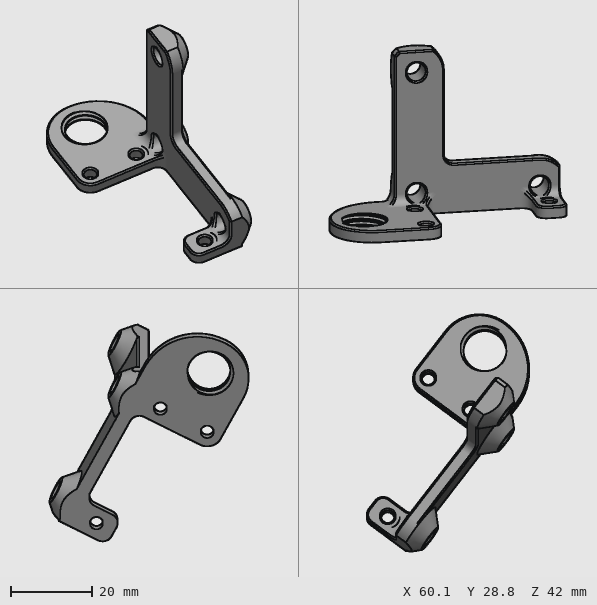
import cadquery as cq
import math

hole_pitch = 31.0
hole_margin = 5.5
plate_thickness = 3.4
boss_height = 3.5
boss_base_radius = 7.0
boss_top_radius = boss_base_radius - boss_height
mount_hole_diameter = 4.7
inner_corner_radius = 2.5

floor_thickness = 3.0
floor_hole_diameter = 3.2
floor_hole_edge = 3.8
base_hole_x = -1.46
base_hole_near_y = -5.05
base_hole_spacing = 13.0
tab_hole_x = 32.31
tab_length = 9.95
tab_corner_radius = 2.5
base_left = -24.0
base_front_corner_radius = 10.4
screw_head_diameter = 6.0

thread_x = -15.46
thread_y = -11.15
thread_minor_diameter = 10.53
thread_major_diameter = 12.2
thread_pitch = 1.5
thread_root_width = thread_pitch / 8
thread_turns = 4
thread_flank_angle = 30.0
thread_bore_overlap = 0.15
thread_root_turn = 0.75

blend_radius = 2.5
edge_chamfer = 0.4
overlap = 1.0

plate_left = -hole_margin
column_right = boss_base_radius
low_hole_z = hole_margin
high_hole_z = low_hole_z + hole_pitch
plate_top = high_hole_z + hole_margin
arm_top = low_hole_z + boss_base_radius
base_right = base_hole_x + floor_hole_edge
base_hole_far_y = base_hole_near_y - base_hole_spacing
base_front = base_hole_far_y - floor_hole_edge
base_back_corner_radius = plate_thickness - thread_y
tab_left = tab_hole_x - floor_hole_edge
plate_right = tab_hole_x + floor_hole_edge
mount_holes = [(0, low_hole_z), (0, high_hole_z), (hole_pitch, low_hole_z)]
base_holes = [(base_hole_x, base_hole_near_y), (base_hole_x, base_hole_far_y)]
floor_holes = base_holes + [(tab_hole_x, base_hole_near_y)]


def chord_half(distance):
    """Half length of the boss circle's chord at a distance from its center."""
    return math.sqrt(boss_base_radius ** 2 - distance ** 2)


def on_boss_circle(center, degrees):
    """Point on the boss circle around a mounting hole."""
    angle = math.radians(degrees)
    return (
        center[0] + boss_base_radius * math.cos(angle),
        center[1] + boss_base_radius * math.sin(angle),
    )


def extrude_along_y(sketch, y_start, y_end):
    """Extrude an XZ sketch (drawn at y = 0) between two y positions."""
    return sketch.extrude(-(y_end - y_start)).translate((0, y_start, 0))


def plate_sketch():
    """Plate outline: straight sides cut by circles about the mounting holes."""
    top_of_circle = 90
    upper_left = 135
    corner = chord_half(hole_margin)
    upper = (0, high_hole_z)
    right = (hole_pitch, low_hole_z)
    top_edge_angle = math.degrees(math.asin(hole_margin / boss_base_radius))
    right_edge_angle = math.degrees(math.acos((plate_right - hole_pitch) / boss_base_radius))
    return (
        cq.Workplane("XZ")
        .moveTo(plate_left, 0)
        .lineTo(plate_left, high_hole_z + corner)
        .threePointArc(on_boss_circle(upper, upper_left), (-corner, plate_top))
        .lineTo(corner, plate_top)
        .threePointArc(on_boss_circle(upper, top_edge_angle / 2), (column_right, high_hole_z))
        .lineTo(column_right, arm_top)
        .lineTo(hole_pitch, arm_top)
        .threePointArc(
            on_boss_circle(right, (top_of_circle + right_edge_angle) / 2),
            (plate_right, low_hole_z + chord_half(plate_right - hole_pitch)),
        )
        .lineTo(plate_right, 0)
        .close()
    )


def make_plate():
    """Plate with the inside corner of the L rounded."""
    plate = extrude_along_y(plate_sketch(), 0, plate_thickness)
    inner_corner = cq.selectors.NearestToPointSelector((column_right, plate_thickness / 2, arm_top))
    return plate.edges(inner_corner).fillet(inner_corner_radius)


def make_base():
    """Flat base with a large rounded left end and one small front right corner."""
    back_center_x = base_left + base_back_corner_radius
    front_center_x = base_left + base_front_corner_radius
    front_center_y = base_front + base_front_corner_radius
    diagonal = math.sqrt(0.5)
    base = (
        cq.Workplane("XY")
        .moveTo(base_right, base_front)
        .lineTo(base_right, plate_thickness)
        .lineTo(back_center_x, plate_thickness)
        .threePointArc(
            (
                back_center_x - base_back_corner_radius * diagonal,
                thread_y + base_back_corner_radius * diagonal,
            ),
            (base_left, thread_y),
        )
        .lineTo(base_left, front_center_y)
        .threePointArc(
            (
                front_center_x - base_front_corner_radius * diagonal,
                front_center_y - base_front_corner_radius * diagonal,
            ),
            (front_center_x, base_front),
        )
        .close()
        .extrude(floor_thickness)
    )
    return base.edges("|Z and >X and <Y").fillet(floor_hole_edge)


def make_tab():
    """Short tab under the right end of the plate, with rounded front corners."""
    tab = (
        cq.Workplane("XY")
        .moveTo(tab_left, -tab_length)
        .lineTo(plate_right, -tab_length)
        .lineTo(plate_right, plate_thickness)
        .lineTo(tab_left, plate_thickness)
        .close()
        .extrude(floor_thickness)
    )
    return tab.edges("|Z and <Y").fillet(tab_corner_radius)


def blend_floor(body):
    """Round the concave edges where the base and the tab meet the plate."""
    half_floor = floor_thickness / 2
    points = [
        (0, 0, floor_thickness),
        (plate_left, plate_thickness / 2, floor_thickness),
        (base_right, 0, half_floor),
        (tab_left, 0, half_floor),
        (tab_hole_x, 0, floor_thickness),
    ]
    edges = cq.Workplane("XY").newObject([])
    for point in points:
        edges = edges.add(body.edges(cq.selectors.NearestToPointSelector(point)))
    return body.newObject(edges.vals()).fillet(blend_radius)


def chamfer_rims(body):
    """Chamfer the plate's front and back rims and the upper rims of the base and tab."""
    tolerance = 0.01
    above_blend = floor_thickness + blend_radius + tolerance
    seeds = cq.Workplane("XY").newObject([])
    for y, x_limit in [(0, plate_right + tolerance), (plate_thickness, plate_right - tolerance)]:
        rim = cq.selectors.BoxSelector(
            (plate_left - tolerance, y - tolerance, above_blend),
            (x_limit, y + tolerance, plate_top + tolerance),
        )
        seeds = seeds.add(body.edges(rim))
    for point in [(base_hole_x, base_front, floor_thickness), (tab_hole_x, -tab_length, floor_thickness)]:
        seeds = seeds.add(body.edges(cq.selectors.NearestToPointSelector(point)))
    return body.newObject(seeds.vals()).chamfer(edge_chamfer)


def make_boss(x, z):
    """45 degree cone behind a mounting hole, with a short cylinder into the plate."""
    root_y = plate_thickness / 2
    tip_y = plate_thickness + boss_height
    return (
        cq.Workplane("XY")
        .moveTo(0, root_y)
        .lineTo(boss_base_radius, root_y)
        .lineTo(boss_base_radius, plate_thickness)
        .lineTo(boss_top_radius, tip_y)
        .lineTo(0, tip_y)
        .close()
        .revolve(360, (0, 0, 0), (0, 1, 0))
        .translate((x, 0, z))
    )


def boss_limit():
    """Side outline of the plate, base and left blend, which trims the bosses."""
    y_start = plate_thickness / 2
    y_end = plate_thickness + boss_height + overlap
    upright = extrude_along_y(plate_sketch(), y_start, y_end)
    diagonal = blend_radius * (1 - math.sqrt(0.5))
    blend_top = floor_thickness + blend_radius
    foot = (
        cq.Workplane("XZ")
        .moveTo(base_left, 0)
        .lineTo(0, 0)
        .lineTo(0, blend_top)
        .lineTo(plate_left, blend_top)
        .threePointArc(
            (plate_left - diagonal, floor_thickness + diagonal),
            (plate_left - blend_radius, floor_thickness),
        )
        .lineTo(base_left, floor_thickness)
        .close()
    )
    return upright.union(extrude_along_y(foot, y_start, y_end))


def add_bosses(body):
    """Join the trimmed bosses to the back of the plate."""
    limit = boss_limit()
    for x, z in mount_holes:
        body = body.union(make_boss(x, z).intersect(limit))
    return body


def cut_mount_holes(body):
    """Through holes in the plate, chamfered around the whole front rim."""
    radius = mount_hole_diameter / 2
    length = plate_thickness + boss_height + blend_radius + 2 * overlap
    for x, z in mount_holes:
        drill = cq.Solid.makeCylinder(
            radius, length, cq.Vector(x, -blend_radius - overlap, z), cq.Vector(0, 1, 0)
        )
        body = body.cut(cq.Workplane(drill))
        rim_point = (x, 0, z + radius)
        body = body.edges(cq.selectors.NearestToPointSelector(rim_point)).chamfer(edge_chamfer)
    return body


def cut_floor_holes(body):
    """Through holes chamfered at the top, with screw head room cut into the blends."""
    radius = floor_hole_diameter / 2
    for x, y in floor_holes:
        drill = cq.Solid.makeCylinder(radius, floor_thickness, cq.Vector(x, y, 0))
        countersink = cq.Solid.makeCone(
            radius,
            radius + edge_chamfer,
            edge_chamfer,
            cq.Vector(x, y, floor_thickness - edge_chamfer),
        )
        head_room = cq.Solid.makeCylinder(
            screw_head_diameter / 2, blend_radius, cq.Vector(x, y, floor_thickness)
        )
        for tool in (drill, countersink, head_room):
            body = body.cut(cq.Workplane(tool))
    return body


def make_thread_groove():
    """Right-hand helical V groove with a flat root, longer than the base is thick."""
    minor_radius = thread_minor_diameter / 2
    major_radius = thread_major_diameter / 2
    inner_radius = minor_radius - thread_bore_overlap
    half_root = thread_root_width / 2
    flank = (major_radius - inner_radius) * math.tan(math.radians(thread_flank_angle))
    half_mouth = half_root + flank
    path = cq.Wire.makeHelix(thread_pitch, thread_turns * thread_pitch, minor_radius)
    groove = (
        cq.Workplane("XZ")
        .moveTo(inner_radius, -half_mouth)
        .lineTo(major_radius, -half_root)
        .lineTo(major_radius, half_root)
        .lineTo(inner_radius, half_mouth)
        .close()
        .sweep(cq.Workplane(path), isFrenet=True)
    )
    start_z = floor_thickness - (thread_turns / 2 + thread_root_turn) * thread_pitch
    return groove.translate((thread_x, thread_y, start_z))


def cut_thread(body):
    """Cut the threaded hole through the base."""
    bore = cq.Solid.makeCylinder(
        thread_minor_diameter / 2, floor_thickness, cq.Vector(thread_x, thread_y, 0)
    )
    return body.cut(make_thread_groove()).cut(cq.Workplane(bore))


bracket = make_plate().union(cut_thread(make_base())).union(make_tab())
bracket = blend_floor(bracket)
bracket = chamfer_rims(bracket)
bracket = add_bosses(bracket)
bracket = cut_mount_holes(bracket)
result = cut_floor_holes(bracket)